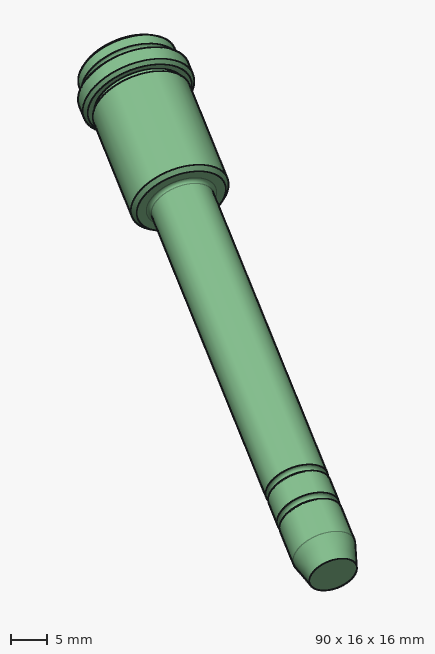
import cadquery as cq

length = 90.0
head_radius = 14.0 / 2
collar_radius = 16.0 / 2
shaft_radius = 9.0 / 2

head_end = 24.0
nose_chamfer = 0.45
head_chamfer = 0.6
root_fillet = 0.5

collar_start = 3.1
collar_end = 6.0
collar_chamfer_length = 0.4
collar_chamfer_depth = 0.5
relief_depth = 0.45
front_relief_start = 2.0
rear_relief_end = 6.8

first_groove_center = 74.8
groove_pitch = 4.95
groove_count = 2
groove_radius = 0.5
taper_length = 4.0
tip_radius = 3.4


def revolve_profile(profile):
    """Close a radial profile and revolve it about the X axis."""
    return profile.close().revolve(360, (0, 0, 0), (1, 0, 0))


def make_head():
    relief_radius = head_radius - relief_depth
    collar_edge_radius = collar_radius - collar_chamfer_depth
    front_relief_middle = (front_relief_start + collar_start) / 2
    profile = (
        cq.Workplane("XY")
        .lineTo(0, head_radius - nose_chamfer)
        .lineTo(nose_chamfer, head_radius)
        .lineTo(front_relief_start, head_radius)
        .threePointArc((front_relief_middle, relief_radius), (collar_start, head_radius))
        .lineTo(collar_start, collar_edge_radius)
        .lineTo(collar_start + collar_chamfer_length, collar_radius)
        .lineTo(collar_end - collar_chamfer_depth, collar_radius)
        .lineTo(collar_end, collar_edge_radius)
        .lineTo(collar_end, relief_radius)
        .lineTo(rear_relief_end, relief_radius)
        .lineTo(rear_relief_end, head_radius)
        .lineTo(head_end - head_chamfer, head_radius)
        .lineTo(head_end, head_radius - head_chamfer)
        .lineTo(head_end, 0)
    )
    return revolve_profile(profile)


def make_shaft():
    profile = (
        cq.Workplane("XY")
        .moveTo(head_end, 0)
        .lineTo(head_end, shaft_radius + root_fillet)
        .radiusArc((head_end + root_fillet, shaft_radius), -root_fillet)
    )
    for index in range(groove_count):
        center = first_groove_center + index * groove_pitch
        profile = profile.lineTo(center - groove_radius, shaft_radius).threePointArc(
            (center, shaft_radius - groove_radius),
            (center + groove_radius, shaft_radius),
        )
    profile = (
        profile.lineTo(length - taper_length, shaft_radius)
        .lineTo(length, tip_radius)
        .lineTo(length, 0)
    )
    return revolve_profile(profile)


result = make_head().union(make_shaft())